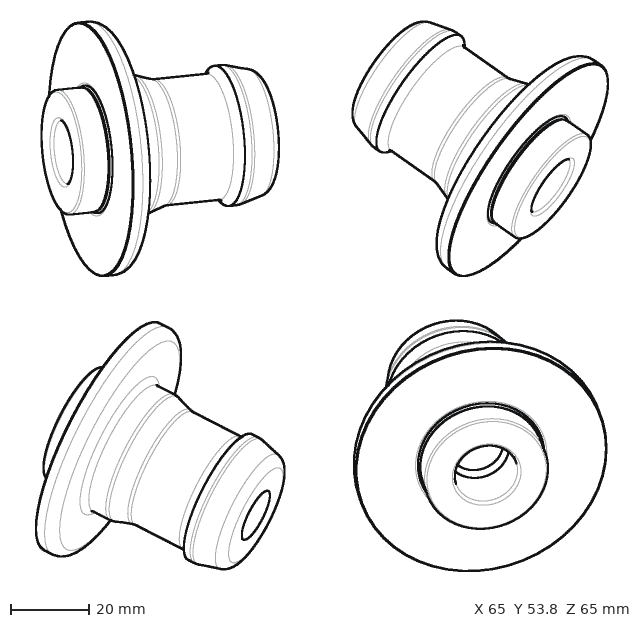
import cadquery as cq
import math


flange_radius = 32.5
flange_thickness = 5.5
flange_round = 2.8
flange_edge_chamfer = 0.2

spigot_radius = 16.0
spigot_length = 7.8
spigot_edge_round = 0.5

undercut_depth = 0.2
undercut_arc_radius = 0.6
undercut_outer_radius = 17.0
undercut_start = 0.8

barb_radius = 18.0
neck_radius = 16.2
collar_cone_start = 12.7
collar_cone_end = 18.2
collar_root_round = 1.6
neck_end = 32.95
neck_head_arc_radius = 2.55
head_cone_start = 37.7
head_cone_angle = 15.0
barb_end = 46.0
barb_blend = 3.0

bore_front_radius = 8.1
bore_back_radius = 6.95
bore_mouth_round = 0.8
wide_bore_depth = 13.0
bore_cone_angle = 30.0

cone_start = wide_bore_depth - spigot_length
cone_end = cone_start + (bore_front_radius - bore_back_radius) / math.tan(math.radians(bore_cone_angle))
head_tip_radius = barb_radius - (barb_end - head_cone_start) * math.tan(math.radians(head_cone_angle))


def arc_point(center, radius, angle):
    """Point on an arc, with the angle in degrees from the radial direction."""
    turn = math.radians(angle)
    return (center[0] + radius * math.cos(turn), center[1] + radius * math.sin(turn))


def turned_body():
    """Revolve the outer half profile; its points are (radius, Y)."""
    undercut_radius = spigot_radius - undercut_depth
    undercut_center = (undercut_radius + undercut_arc_radius, undercut_depth - undercut_arc_radius)

    head_center = (neck_radius + neck_head_arc_radius, neck_end)
    rim_offset = barb_radius - head_center[0]
    rim_angle = math.degrees(math.acos(rim_offset / neck_head_arc_radius))
    rim_y = neck_end + math.sqrt(neck_head_arc_radius**2 - rim_offset**2)

    profile = (
        cq.Workplane("XY")
        .moveTo(0, -spigot_length)
        .lineTo(spigot_radius, -spigot_length)
        .lineTo(spigot_radius, -undercut_start)
        .lineTo(undercut_radius, undercut_center[1])
        .threePointArc(
            arc_point(undercut_center, undercut_arc_radius, 135),
            (undercut_center[0], undercut_depth),
        )
        .lineTo(undercut_outer_radius, 0)
        .lineTo(flange_radius, 0)
        .lineTo(flange_radius, flange_thickness)
        .lineTo(barb_radius, flange_thickness)
        .lineTo(barb_radius, collar_cone_start)
        .lineTo(neck_radius, collar_cone_end)
        .lineTo(neck_radius, neck_end)
        .threePointArc(
            arc_point(head_center, neck_head_arc_radius, (180 + rim_angle) / 2),
            (barb_radius, rim_y),
        )
        .lineTo(barb_radius, head_cone_start)
        .lineTo(head_tip_radius, barb_end)
        .lineTo(0, barb_end)
        .close()
    )
    return profile.revolve(360, (0, 0, 0), (0, 1, 0))


def stepped_bore():
    """Bore through the whole length, narrowing at an inner cone."""
    return (
        cq.Workplane("XY")
        .moveTo(0, -spigot_length)
        .lineTo(bore_front_radius, -spigot_length)
        .lineTo(bore_front_radius, cone_start)
        .lineTo(bore_back_radius, cone_end)
        .lineTo(bore_back_radius, barb_end)
        .lineTo(0, barb_end)
        .close()
        .revolve(360, (0, 0, 0), (0, 1, 0))
    )


def rim(body, radius, y):
    """Select the circular edge with this radius at this Y."""
    tolerance = 0.005

    def matches(edge):
        if edge.geomType() != "CIRCLE":
            return False
        return abs(edge.radius() - radius) < tolerance and abs(edge.Center().y - y) < tolerance

    return body.edges().filter(matches)


body = turned_body().cut(stepped_bore())

rounded_rims = [
    (flange_radius, flange_thickness, flange_round),
    (barb_radius, flange_thickness, collar_root_round),
    (barb_radius, collar_cone_start, barb_blend),
    (neck_radius, collar_cone_end, barb_blend),
    (barb_radius, head_cone_start, barb_blend),
    (head_tip_radius, barb_end, barb_blend),
    (spigot_radius, -spigot_length, spigot_edge_round),
    (bore_front_radius, -spigot_length, bore_mouth_round),
]
for rim_radius, rim_position, round_radius in rounded_rims:
    body = rim(body, rim_radius, rim_position).fillet(round_radius)

result = rim(body, flange_radius, 0).chamfer(flange_edge_chamfer)